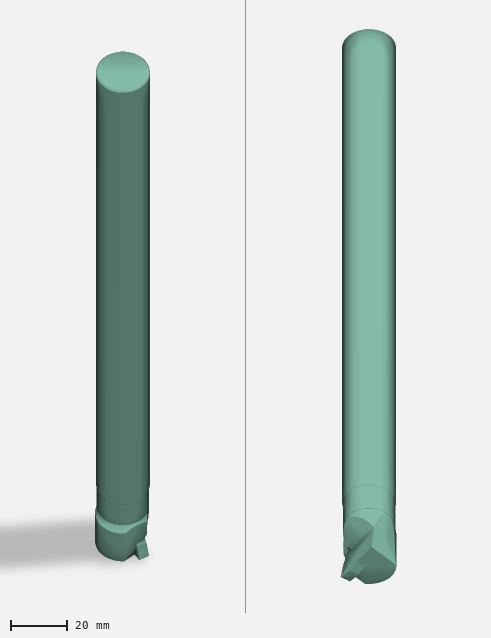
import cadquery as cq
import math

TOTAL_LENGTH = 254.0
SHANK_DIAMETER = 19.0
NECK_DIAMETER = 18.5
CORE_DIAMETER = 18.3
SHANK_BOTTOM = 29.5
TOP_CHAMFER = 0.5
SHOULDER = (SHANK_DIAMETER - NECK_DIAMETER) / 2

HEAD_BOTTOM = 0.8
HEAD_TOP = 18.0
HEAD_DEPTH = 11.05
HEAD_REACH = 10.5
BACK_FLAT_START = (-7.0, -5.5)
BACK_FLAT_END = (-5.0, -8.6)
BACK_ARC_MIDDLE = (-2.8, -10.2)
FRONT_ARC_MIDDLE = (5.5, -10.0)
FRONT_ARC_END = (9.1, -6.9)
FRONT_FLAT_TOP_Y = 2.0
CORE_MEETING_POINT = (7.5, 4.8)
SLOPE_TOP = 17.5
SLOPE_BOTTOM_X = -5.72
RELIEF_TOP = 8.1
RELIEF_BOTTOM_X = 9.0

RAKE_ANGLE = 12.0
RAKE_Y_AT_AXIS = 3.5
POCKET_FLOOR_TOP = 8.6
POCKET_WALL_TOP = 13.7
POCKET_WALL_RISE = 3.8
CUT_SIZE = 25.5

TIP_X = 13.2
TIP_Z = 1.0
EDGE_LENGTH = 5.8
TIP_ANGLE = 80.0
TIP_ROUND = 0.5
INSERT_THICKNESS = 3.8
TIP_DIRECTION = -30.0

CORNER_RADIUS = 2 * EDGE_LENGTH * math.sin(math.radians(TIP_ANGLE)) / math.sqrt(3)
EDGE_BULGE = EDGE_LENGTH * math.cos(math.radians(TIP_ANGLE))
MIDDLE_RADIUS = CORNER_RADIUS / 2 + EDGE_BULGE

rake = math.radians(RAKE_ANGLE)
FLOOR_X_AXIS = (math.cos(rake), -math.sin(rake), 0)
FLOOR_NORMAL = (math.sin(rake), math.cos(rake), 0)


def floor_workplane(facing):
    """Plane of the pocket floor: facing 1 points out of the head, -1 points into it."""
    x_axis = tuple(-facing * part for part in FLOOR_X_AXIS)
    normal = tuple(facing * part for part in FLOOR_NORMAL)
    return cq.Workplane(cq.Plane((0, RAKE_Y_AT_AXIS, 0), x_axis, normal))


def make_shank():
    shank = (
        cq.Workplane("XY", origin=(0, 0, SHANK_BOTTOM))
        .circle(SHANK_DIAMETER / 2)
        .extrude(TOTAL_LENGTH - SHANK_BOTTOM)
        .faces(">Z").chamfer(TOP_CHAMFER)
        .faces("<Z").chamfer(SHOULDER)
    )
    neck_and_core = (
        cq.Workplane("XY", origin=(0, 0, HEAD_BOTTOM))
        .circle(CORE_DIAMETER / 2)
        .extrude(HEAD_TOP - HEAD_BOTTOM)
        .faces(">Z").workplane()
        .circle(NECK_DIAMETER / 2)
        .extrude(SHANK_BOTTOM - HEAD_TOP)
    )
    return shank.union(neck_and_core)


def make_head_block():
    """Offset block of the head, its upper edge turned to a 45 degree cone."""
    block = (
        cq.Workplane("XY", origin=(0, 0, HEAD_BOTTOM))
        .moveTo(*BACK_FLAT_START)
        .lineTo(*BACK_FLAT_END)
        .threePointArc(BACK_ARC_MIDDLE, (0, -HEAD_DEPTH))
        .threePointArc(FRONT_ARC_MIDDLE, FRONT_ARC_END)
        .lineTo(HEAD_REACH, FRONT_FLAT_TOP_Y)
        .lineTo(*CORE_MEETING_POINT)
        .close()
        .extrude(HEAD_TOP - HEAD_BOTTOM)
    )
    neck_radius = NECK_DIAMETER / 2
    cone = (
        cq.Workplane("XZ")
        .polyline([
            (0, HEAD_BOTTOM),
            (neck_radius + HEAD_TOP - HEAD_BOTTOM, HEAD_BOTTOM),
            (neck_radius, HEAD_TOP),
            (0, HEAD_TOP),
        ])
        .close()
        .revolve(360, (0, 0, 0), (0, 1, 0))
    )
    return block.intersect(cone)


def make_side_cuts():
    """Sloped flat on the -X side and leaning relief under the insert on the +X side."""
    slope = (
        cq.Workplane("XZ")
        .polyline([
            (-CORE_DIAMETER / 2, SLOPE_TOP),
            (SLOPE_BOTTOM_X, HEAD_BOTTOM),
            (-CUT_SIZE, HEAD_BOTTOM),
            (-CUT_SIZE, SLOPE_TOP),
        ])
        .close()
        .extrude(CUT_SIZE, both=True)
    )
    relief = (
        cq.Workplane("XZ")
        .polyline([
            (HEAD_REACH, RELIEF_TOP),
            (RELIEF_BOTTOM_X, HEAD_BOTTOM),
            (CUT_SIZE, HEAD_BOTTOM),
            (CUT_SIZE, RELIEF_TOP),
        ])
        .close()
        .extrude(CUT_SIZE, both=True)
    )
    return slope.union(relief)


def make_chip_pocket():
    """Flat floor below a wall that leans back to the outside of the head."""
    wall_run = POCKET_WALL_TOP - POCKET_FLOOR_TOP
    far_rise = CUT_SIZE
    far_height = POCKET_FLOOR_TOP + far_rise * wall_run / POCKET_WALL_RISE
    section = cq.Plane((0, RAKE_Y_AT_AXIS, 0), FLOOR_NORMAL, FLOOR_X_AXIS)
    return (
        cq.Workplane(section)
        .polyline([(0, 0), (0, POCKET_FLOOR_TOP), (far_rise, far_height), (far_rise, 0)])
        .close()
        .extrude(CUT_SIZE, both=True)
    )


def insert_prism(facing, depth):
    """Trigon outline on the pocket floor, extruded out of the head or into it."""
    tip = math.radians(TIP_DIRECTION)
    tip_along_floor = TIP_X / math.cos(rake)
    centre_x = tip_along_floor - CORNER_RADIUS * math.cos(tip)
    centre_z = TIP_Z - CORNER_RADIUS * math.sin(tip)
    points = []
    for index in range(6):
        radius = CORNER_RADIUS if index % 2 == 0 else MIDDLE_RADIUS
        angle = tip + index * math.pi / 3
        x = centre_x + radius * math.cos(angle)
        z = centre_z + radius * math.sin(angle)
        points.append((-facing * x, z))
    prism = floor_workplane(facing).polyline(points).close().extrude(depth)
    corners = cq.Workplane("XY")
    for x, z in points[::2]:
        edge = prism.edges(cq.selectors.NearestToPointSelector(
            floor_workplane(facing).plane.toWorldCoords((x, z, depth / 2)).toTuple()
        ))
        corners = corners.add(edge.val())
    return cq.Workplane(prism.val().fillet(TIP_ROUND, corners.vals()))


def make_bar():
    bar = make_shank().union(make_head_block())
    bar = bar.cut(make_side_cuts()).cut(make_chip_pocket())
    return bar.cut(insert_prism(-1, INSERT_THICKNESS)).cut(insert_prism(1, CUT_SIZE))


bar = make_bar()
insert = insert_prism(-1, INSERT_THICKNESS)
result = cq.Compound.makeCompound([bar.val(), insert.val()])